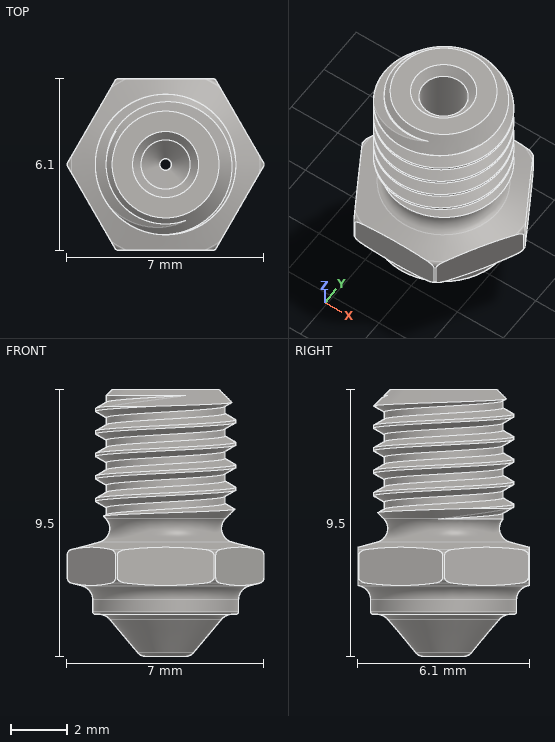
import cadquery as cq
import math

total_height = 9.5

tip_radius = 0.88
tip_round = 0.4
cone_root_round = 0.5
collar_radius = 5.2 / 2
collar_bottom_z = 1.5
tip_cone_half_angle = 40.0
cone_top_radius = tip_radius + collar_bottom_z * math.tan(math.radians(tip_cone_half_angle))
collar_edge_round = 0.1

hex_across_flats = 6.1
hex_corner_radius = 7.0 / 2
hex_corner_bottom_z = 2.65
hex_corner_top_z = 3.77
hex_cone_angle = 15.0
hex_cone_slope = math.tan(math.radians(hex_cone_angle))
hex_corner_round = 0.2
hex_root_round = 0.5

neck_round = 0.5

thread_radius = 5.0 / 2
thread_core_radius = 4.23 / 2
thread_bottom_z = 5.272
thread_pitch = 0.8
thread_crest_width = thread_pitch / 8
thread_flank_angle = 30.0
thread_flank_slope = math.tan(math.radians(thread_flank_angle))
thread_top_radius = 1.9
thread_top_chamfer_height = thread_radius - thread_top_radius
groove_overshoot = 0.05
groove_start_z = 4.7
groove_start_angle = -31.0
groove_turns = 6.6

bore_radius = 1.75 / 2
countersink_radius = 2.35 / 2
countersink_depth = countersink_radius - bore_radius
orifice_radius = 0.4 / 2
orifice_length = 0.6
bore_cone_half_angle = 40.0


def rounded_outline(corners):
    """Closed XZ outline through (radius, z, rounding) corners, sharp where rounding is 0."""
    outline = cq.Workplane("XZ").moveTo(*corners[0][:2])
    for before, corner, after in zip(corners, corners[1:], corners[2:] + corners[:1]):
        point = cq.Vector(*corner[:2])
        rounding = corner[2]
        if rounding == 0:
            outline = outline.lineTo(point.x, point.y)
            continue
        back = (cq.Vector(*before[:2]) - point).normalized()
        ahead = (cq.Vector(*after[:2]) - point).normalized()
        half_angle = back.getAngle(ahead) / 2
        tangent_length = rounding / math.tan(half_angle)
        arc_depth = rounding / math.sin(half_angle) - rounding
        start = point + back * tangent_length
        middle = point + (back + ahead).normalized() * arc_depth
        end = point + ahead * tangent_length
        outline = outline.lineTo(start.x, start.y)
        outline = outline.threePointArc((middle.x, middle.y), (end.x, end.y))
    return outline.close()


def revolve_about_z(outline):
    return outline.revolve(360, (0, 0, 0), (0, 1, 0))


def turned_blank():
    lower_root_z = hex_corner_bottom_z - (hex_corner_radius - collar_radius) * hex_cone_slope
    neck_corner_radius = (
        hex_corner_top_z + hex_corner_radius * hex_cone_slope - thread_bottom_z + thread_radius
    ) / (1 + hex_cone_slope)
    neck_corner_z = thread_bottom_z - (thread_radius - neck_corner_radius)
    corners = [
        (0, 0, 0),
        (tip_radius, 0, tip_round),
        (cone_top_radius, collar_bottom_z, cone_root_round),
        (collar_radius, collar_bottom_z, collar_edge_round),
        (collar_radius, lower_root_z, hex_root_round),
        (hex_corner_radius, hex_corner_bottom_z, hex_corner_round),
        (hex_corner_radius, hex_corner_top_z, hex_corner_round),
        (neck_corner_radius, neck_corner_z, neck_round),
        (thread_radius, thread_bottom_z, 0),
        (thread_radius, total_height - thread_top_chamfer_height, 0),
        (thread_top_radius, total_height, 0),
        (0, total_height, 0),
    ]
    return revolve_about_z(rounded_outline(corners))


def hex_prism():
    across_corners = hex_across_flats / math.cos(math.pi / 6)
    return cq.Workplane("XY").polygon(6, across_corners).extrude(total_height)


def thread_groove():
    outer_radius = thread_radius + groove_overshoot
    crest_half = (thread_pitch - thread_crest_width) / 2
    root_half = crest_half - (thread_radius - thread_core_radius) * thread_flank_slope
    outer_half = crest_half + groove_overshoot * thread_flank_slope
    profile = cq.Workplane("XZ").polyline([
        (thread_core_radius, -root_half),
        (outer_radius, -outer_half),
        (outer_radius, outer_half),
        (thread_core_radius, root_half),
    ]).close()
    helix = cq.Wire.makeHelix(thread_pitch, groove_turns * thread_pitch, thread_core_radius)
    groove = profile.sweep(cq.Workplane(helix), isFrenet=True)
    return groove.rotate((0, 0, 0), (0, 0, 1), groove_start_angle).translate((0, 0, groove_start_z))


def filament_bore():
    cone_height = (bore_radius - orifice_radius) / math.tan(math.radians(bore_cone_half_angle))
    outline = cq.Workplane("XZ").polyline([
        (0, 0),
        (orifice_radius, 0),
        (orifice_radius, orifice_length),
        (bore_radius, orifice_length + cone_height),
        (bore_radius, total_height - countersink_depth),
        (countersink_radius, total_height),
        (0, total_height),
    ]).close()
    return revolve_about_z(outline)


result = turned_blank().intersect(hex_prism()).cut(thread_groove()).cut(filament_bore())